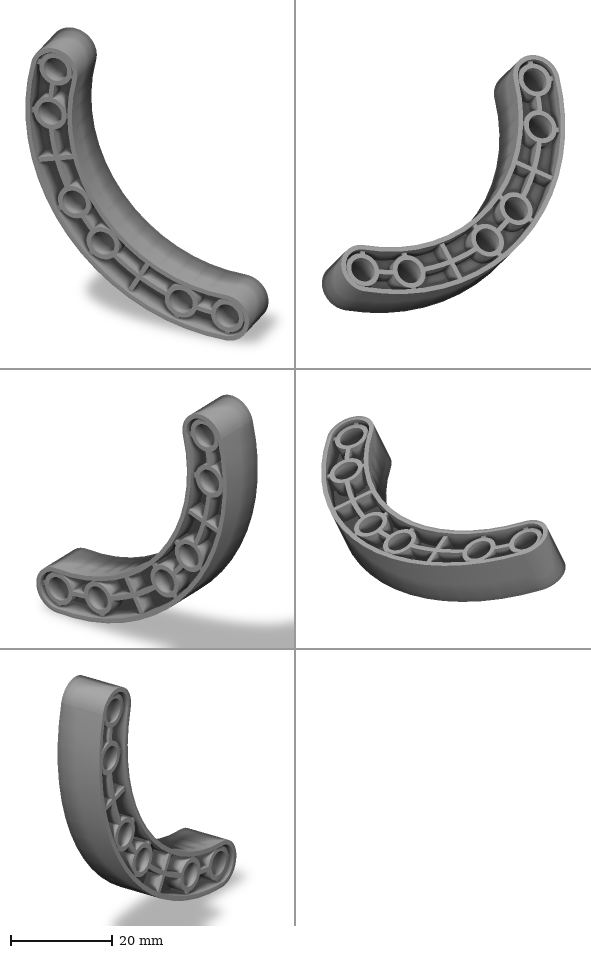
import cadquery as cq
import math

thickness = 10.0
arc_radius = 37.95
hole_pitch = 10.0
pair_count = 3
hole_diameter = 5.0
boss_diameter = 7.0
wall = 1.0
rib = 1.0
web = 1.0
arc_span = 104.3
rib_recess = 0.8

end_radius = thickness / 2
lattice_height = thickness - 2 * rib_recess
inset_half_width = end_radius - wall / 2

pair_angle = 2 * math.degrees(math.asin(hole_pitch / 2 / arc_radius))
gap_angle = (arc_span - pair_count * pair_angle) / (pair_count - 1)
hole_angles = []
for pair in range(pair_count):
    first = pair * (pair_angle + gap_angle)
    hole_angles += [first, first + pair_angle]
gap_middles = [angle + gap_angle / 2 for angle in hole_angles[1:-1:2]]

top_reach = arc_radius * math.sin(math.radians(arc_span - 90)) + end_radius
center_x = arc_radius / 2
center_z = (arc_radius + end_radius - top_reach) / 2


def on_arc(angle, radius=arc_radius):
    """Point at an angle along the arc; 0 is straight below the arc centre, rising toward -X."""
    turn = math.radians(angle)
    return (center_x - radius * math.sin(turn), center_z - radius * math.cos(turn))


def mid_plane():
    """Sketch plane at mid thickness."""
    return cq.Workplane("XZ")


def arc_band(half_width, height):
    """Curved band with round ends about the two end holes, symmetric about mid thickness."""
    outer = arc_radius + half_width
    inner = arc_radius - half_width
    start_x, start_z = on_arc(0)
    end_x, end_z = on_arc(arc_span)
    turn = math.radians(arc_span)
    start_tip = (start_x + half_width, start_z)
    end_tip = (end_x - half_width * math.cos(turn), end_z + half_width * math.sin(turn))
    return (
        mid_plane()
        .moveTo(*on_arc(0, outer))
        .threePointArc(on_arc(arc_span / 2, outer), on_arc(arc_span, outer))
        .threePointArc(end_tip, on_arc(arc_span, inner))
        .threePointArc(on_arc(arc_span / 2, inner), on_arc(0, inner))
        .threePointArc(start_tip, on_arc(0, outer))
        .close()
        .extrude(height / 2, both=True)
    )


def rib_bar(angle, radial, tangential, shift=0):
    """Straight rib on the arc; a positive shift moves it along the tangent toward the lower end."""
    x, z = on_arc(angle)
    return (
        cq.Workplane("XY")
        .box(tangential, lattice_height, radial)
        .translate((shift, 0, 0))
        .rotate((0, 0, 0), (0, 1, 0), angle)
        .translate((x, 0, z))
    )


def round_bars(diameter, height):
    """Cylinders along Y at every hole."""
    return (
        mid_plane()
        .pushPoints([on_arc(angle) for angle in hole_angles])
        .circle(diameter / 2)
        .extrude(height / 2, both=True)
    )


beam = arc_band(end_radius, thickness)
cavity = arc_band(end_radius - wall, thickness)
rim = beam.cut(cavity)
floor = arc_band(inset_half_width, web)

lattice = round_bars(boss_diameter, lattice_height)
lattice = lattice.union(arc_band(rib / 2, lattice_height))
for angle in hole_angles + gap_middles:
    lattice = lattice.union(rib_bar(angle, 2 * inset_half_width, rib))
for angle, outward in ((0, 1), (arc_span, -1)):
    lattice = lattice.union(rib_bar(angle, rib, inset_half_width, outward * inset_half_width / 2))
lattice = lattice.intersect(arc_band(inset_half_width, lattice_height))

result = rim.union(floor).union(lattice).cut(round_bars(hole_diameter, thickness))